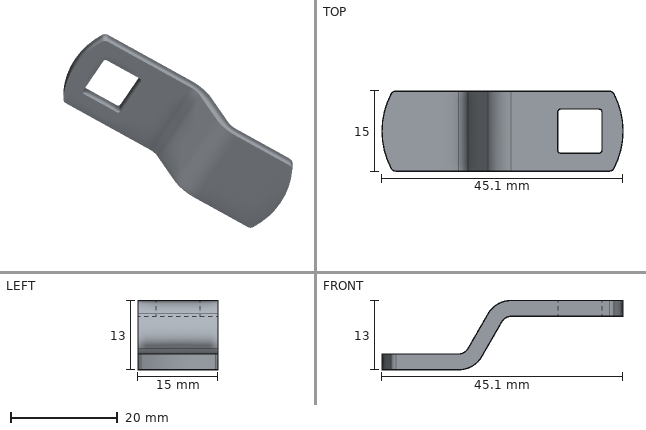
import cadquery as cq
import math

length = 45.1
width = 15.0
thickness = 3.0
step_height = 10.0
bend_angle = 60.0
bend_inner_radius = 2.0
lower_flat_length = 14.35
end_radius = 15.0
end_corner_radius = 1.0
hole_size = 8.2
hole_corner_radius = 0.5
hole_to_end = 8.1

x_min = -length / 2
x_max = length / 2
bend_outer_radius = bend_inner_radius + thickness
total_height = step_height + thickness


def bend_point(centre, radius, degrees):
    """Point on a bend arc, in the XZ profile plane."""
    angle = math.radians(degrees)
    return (centre[0] + radius * math.cos(angle), centre[1] + radius * math.sin(angle))


def make_bent_strip():
    """Z-shaped strip of constant thickness, extruded across the full width."""
    slope = math.radians(bend_angle)
    radius_sum = bend_inner_radius + bend_outer_radius
    web_rise = step_height - radius_sum * (1 - math.cos(slope))
    bend_run = radius_sum * math.sin(slope) + web_rise / math.tan(slope)

    lower_x = x_min + lower_flat_length
    upper_x = lower_x + bend_run
    lower_centre = (lower_x, bend_outer_radius)
    upper_centre = (upper_x, total_height - bend_outer_radius)

    lower_start = -90
    lower_middle = lower_start + bend_angle / 2
    lower_end = lower_start + bend_angle
    upper_start = 90 + bend_angle
    upper_middle = 90 + bend_angle / 2

    return (
        cq.Workplane("XZ")
        .moveTo(x_min, 0)
        .lineTo(lower_x, 0)
        .threePointArc(
            bend_point(lower_centre, bend_outer_radius, lower_middle),
            bend_point(lower_centre, bend_outer_radius, lower_end),
        )
        .lineTo(*bend_point(upper_centre, bend_inner_radius, upper_start))
        .threePointArc(
            bend_point(upper_centre, bend_inner_radius, upper_middle),
            (upper_x, step_height),
        )
        .lineTo(x_max, step_height)
        .lineTo(x_max, total_height)
        .lineTo(upper_x, total_height)
        .threePointArc(
            bend_point(upper_centre, bend_outer_radius, upper_middle),
            bend_point(upper_centre, bend_outer_radius, upper_start),
        )
        .lineTo(*bend_point(lower_centre, bend_inner_radius, lower_end))
        .threePointArc(
            bend_point(lower_centre, bend_inner_radius, lower_middle),
            (lower_x, thickness),
        )
        .lineTo(x_min, thickness)
        .close()
        .extrude(width / 2, both=True)
    )


def make_plan_outline():
    """Full-height block with arc-shaped ends and rounded corners."""
    half_width = width / 2
    end_depth = end_radius - math.sqrt(end_radius**2 - half_width**2)
    left_corner_x = x_min + end_depth
    right_corner_x = x_max - end_depth
    return (
        cq.Workplane("XY")
        .moveTo(left_corner_x, -half_width)
        .lineTo(right_corner_x, -half_width)
        .threePointArc((x_max, 0), (right_corner_x, half_width))
        .lineTo(left_corner_x, half_width)
        .threePointArc((x_min, 0), (left_corner_x, -half_width))
        .close()
        .extrude(total_height)
        .edges("|Z")
        .fillet(end_corner_radius)
    )


def make_square_hole():
    """Cutter for the square hole, with rounded corners."""
    return (
        cq.Workplane("XY")
        .center(x_max - hole_to_end, 0)
        .rect(hole_size, hole_size)
        .extrude(total_height)
        .edges("|Z")
        .fillet(hole_corner_radius)
    )


result = make_bent_strip().intersect(make_plan_outline()).cut(make_square_hole())